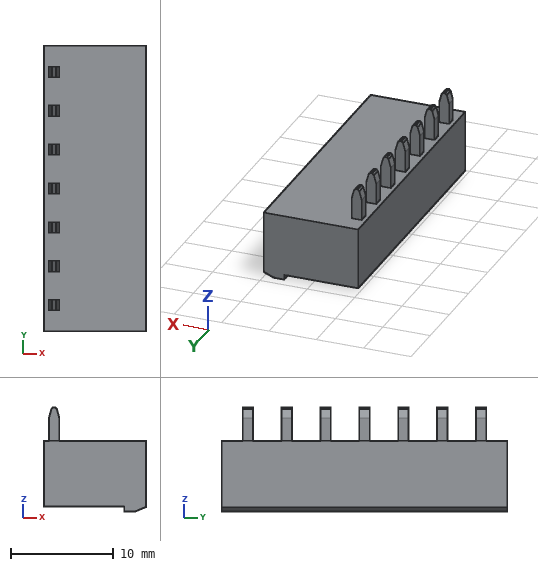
import cadquery as cq

body_width = 10.0
body_length = 27.98
total_height = 10.2
rail_height = 0.5
pin_height = 3.27
body_top = total_height - pin_height

rail_inner_x = 7.83
rail_flat_width = 1.1
rail_slope_rise = 0.45

pin_count = 7
pin_pitch = 3.8
pin_inset = 0.48
pin_size_x = 1.04
pin_center_x = pin_inset + pin_size_x / 2
pin_size_y = 1.04

tip_height = 1.04
crown_height = 0.17
crown_width = 0.55
top_flat_width = 0.22


def make_body():
    """Block and foot rail, extruded from one end profile."""
    profile = (
        cq.Workplane("XZ")
        .moveTo(0, rail_height)
        .lineTo(rail_inner_x, rail_height)
        .lineTo(rail_inner_x, 0)
        .lineTo(rail_inner_x + rail_flat_width, 0)
        .lineTo(body_width, rail_slope_rise)
        .lineTo(body_width, body_top)
        .lineTo(0, body_top)
        .close()
    )
    return profile.extrude(body_length / 2, both=True)


def make_pin(center_y):
    """One pin standing on the block, centred at the given Y."""
    half_size = pin_size_x / 2
    half_crown = crown_width / 2
    half_flat = top_flat_width / 2
    shoulder_z = pin_height - tip_height
    crown_z = pin_height - crown_height
    profile = (
        cq.Workplane("XZ", origin=(pin_center_x, center_y, body_top))
        .moveTo(-half_size, 0)
        .lineTo(half_size, 0)
        .lineTo(half_size, shoulder_z)
        .lineTo(half_crown, crown_z)
        .lineTo(half_flat, pin_height)
        .lineTo(-half_flat, pin_height)
        .lineTo(-half_crown, crown_z)
        .lineTo(-half_size, shoulder_z)
        .close()
    )
    return profile.extrude(pin_size_y / 2, both=True)


result = make_body()
for index in range(pin_count):
    pin_y = (index - (pin_count - 1) / 2) * pin_pitch
    result = result.union(make_pin(pin_y))